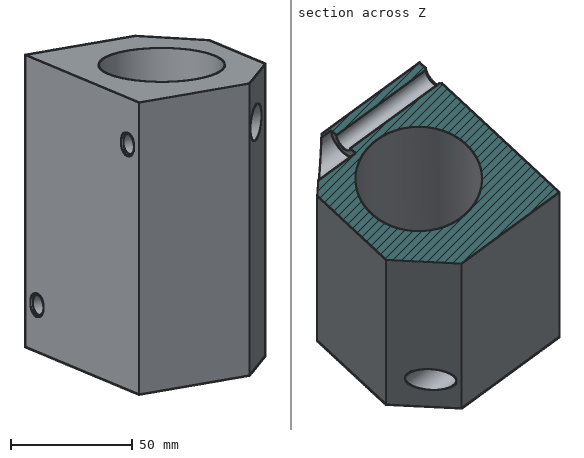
import cadquery as cq

width = 87.0
depth = 76.0
height = 125.0
corner_chamfer = 22.0

bore_diameter = 52.0
bore_center_y = 39.0

hole_diameter = 8.5
hole_mouth_diameter = 10.0
hole_side_inset = 9.0
hole_end_inset = 20.0
screw_head_diameter = 15.0
screw_seat_y = 50.0

hole_centers = [
    (hole_side_inset, hole_end_inset),
    (width - hole_side_inset, height - hole_end_inset),
]


def make_block():
    """Rectangular block with its two rear vertical edges chamfered."""
    block = cq.Workplane("XY").box(width, depth, height, centered=False)
    return block.edges("|Z and >Y").chamfer(corner_chamfer)


def make_bore():
    return (
        cq.Workplane("XY")
        .center(width / 2, bore_center_y)
        .circle(bore_diameter / 2)
        .extrude(height)
    )


def make_mounting_hole(x, z):
    """Through hole with a 45 degree front mouth and a screw head recess at the rear."""
    hole_radius = hole_diameter / 2
    mouth_radius = hole_mouth_diameter / 2
    mouth_depth = mouth_radius - hole_radius
    head_radius = screw_head_diameter / 2
    half_profile = [
        (0, 0),
        (mouth_radius, 0),
        (hole_radius, mouth_depth),
        (hole_radius, screw_seat_y),
        (head_radius, screw_seat_y),
        (head_radius, depth),
        (0, depth),
    ]
    hole = cq.Workplane("XY").polyline(half_profile).close().revolve(360, (0, 0), (0, 1))
    return hole.translate((x, 0, z))


result = make_block().cut(make_bore())
for center_x, center_z in hole_centers:
    result = result.cut(make_mounting_hole(center_x, center_z))